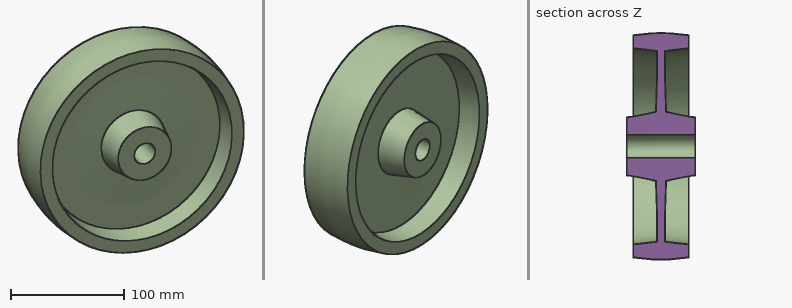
import cadquery as cq

tread_radius = 100.0
rim_side_radius = 98.0
rim_width = 49.0
rim_mouth_radius = 86.5
rim_floor_radius = 84.0
hub_length = 60.5
hub_end_radius = 25.5
hub_root_radius = 30.5
bore_radius = 10.0

web_thickness = 7.2
web_hub_thickness = 9.2
web_cone_radius = 61.0

half_rim = rim_width / 2
half_hub = hub_length / 2
half_web = web_thickness / 2
half_web_at_hub = web_hub_thickness / 2


def half_profile():
    """Section of the +X half: X along the axle, Z as the radius."""
    crown_mid_x = half_rim / 2
    crown_drop = tread_radius - rim_side_radius
    crown_radius = (half_rim**2 + crown_drop**2) / (2 * crown_drop)
    crown_mid_radius = tread_radius - crown_radius + (crown_radius**2 - crown_mid_x**2) ** 0.5
    return (
        cq.Workplane("XZ")
        .moveTo(0, bore_radius)
        .lineTo(half_hub, bore_radius)
        .lineTo(half_hub, hub_end_radius)
        .lineTo(half_web_at_hub, hub_root_radius)
        .lineTo(half_web, web_cone_radius)
        .lineTo(half_web, rim_floor_radius)
        .lineTo(half_rim, rim_mouth_radius)
        .lineTo(half_rim, rim_side_radius)
        .threePointArc((crown_mid_x, crown_mid_radius), (0, tread_radius))
        .close()
    )


half_wheel = half_profile().revolve(360, (0, 0, 0), (1, 0, 0))
result = half_wheel.union(half_wheel.mirror("YZ"))